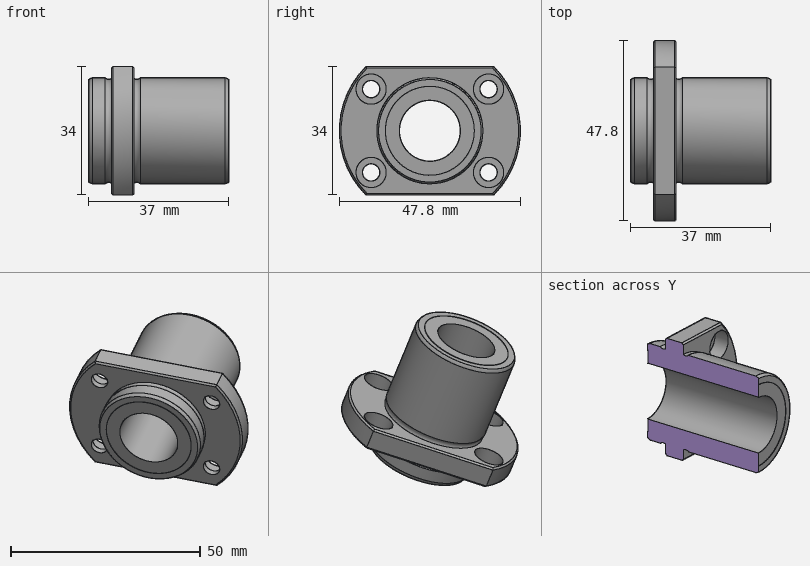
import cadquery as cq
import math

length = 37.0
outer_diameter = 28.0
bore_diameter = 16.0
barrel_radius = outer_diameter / 2

lead_in_length = 1.0
lead_in_height = 0.5
lead_in_crown = 0.05

seal_diameter = 23.5
seal_recess = 0.1

flange_start = 6.0
flange_thickness = 6.03
flange_diameter = 47.8
flange_height = 34.0
flange_chamfer = 0.5
flange_end = flange_start + flange_thickness

groove_width = 1.65
groove_depth = 0.4
groove_radius = 1.5

bolt_spacing_y = 31.0
bolt_spacing_z = 22.0
bolt_diameter = 4.5
counterbore_diameter = 8.0
counterbore_depth = 4.4


def x_cylinder(start, end, diameter):
    """Solid cylinder about the X axis between two X positions."""
    return cq.Workplane("YZ", origin=(start, 0, 0)).circle(diameter / 2).extrude(end - start)


def revolve_about_x(profile):
    return profile.revolve(360, (0, 0, 0), (1, 0, 0))


def make_sleeve():
    """Solid barrel whose ends narrow along a slightly crowned arc."""
    end_radius = barrel_radius - lead_in_height
    profile = (
        cq.Workplane("XY")
        .lineTo(0, end_radius)
        .sagittaArc((lead_in_length, barrel_radius), lead_in_crown)
        .lineTo(length - lead_in_length, barrel_radius)
        .sagittaArc((length, end_radius), lead_in_crown)
        .lineTo(length, 0)
        .close()
    )
    return revolve_about_x(profile)


def make_groove(flange_face, direction):
    """Ring cutter whose arc meets the barrel one groove width away from a flange face."""
    half_chord = math.sqrt(groove_radius**2 - (groove_radius - groove_depth) ** 2)
    center_x = flange_face + direction * (groove_width - half_chord)
    center_radius = barrel_radius - groove_depth + groove_radius
    return revolve_about_x(cq.Workplane("XY").moveTo(center_x, center_radius).circle(groove_radius))


def make_flange():
    """Disc trimmed by its two flats, with the rims of both faces chamfered."""
    disc = x_cylinder(flange_start, flange_end, flange_diameter)
    slab = cq.Workplane("XY").box(flange_thickness, flange_diameter, flange_height)
    slab = slab.translate((flange_start + flange_thickness / 2, 0, 0))
    blank = disc.intersect(slab)
    return blank.faces("<X or >X").chamfer(flange_chamfer)


def drill_bolt_holes(body):
    return (
        body.copyWorkplane(cq.Workplane("YZ", origin=(flange_end, 0, 0)))
        .rarray(bolt_spacing_y, bolt_spacing_z, 2, 2)
        .cboreHole(bolt_diameter, counterbore_diameter, counterbore_depth, flange_thickness)
    )


result = make_sleeve()
for flange_face, direction in ((flange_start, -1), (flange_end, 1)):
    result = result.cut(make_groove(flange_face, direction))
result = result.union(make_flange())
result = result.cut(x_cylinder(0, length, bore_diameter))
for end_face, floor in ((0, seal_recess), (length, length - seal_recess)):
    result = result.cut(x_cylinder(end_face, floor, seal_diameter))
result = drill_bolt_holes(result)